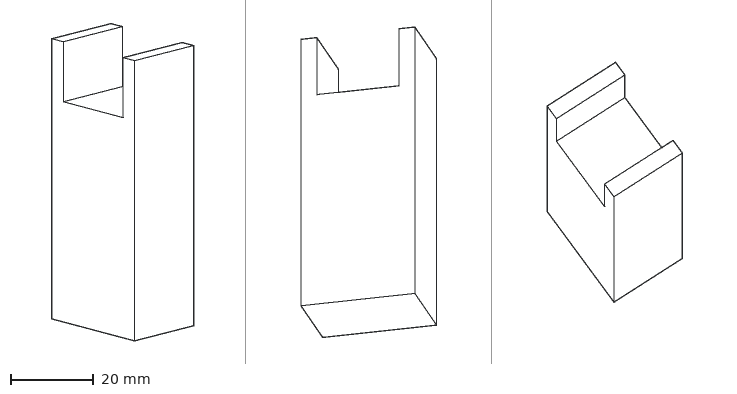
import cadquery as cq

width = 28.5
depth = 20.0
height = 70.0

wall_thickness = 4.0
slot_depth = 15.0
slot_width = width - 2 * wall_thickness

block = cq.Workplane("XY").box(width, depth, height, centered=(True, True, False))

slot = (
    cq.Workplane("XY")
    .workplane(offset=height - slot_depth)
    .box(slot_width, depth, slot_depth, centered=(True, True, False))
)

result = block.cut(slot)